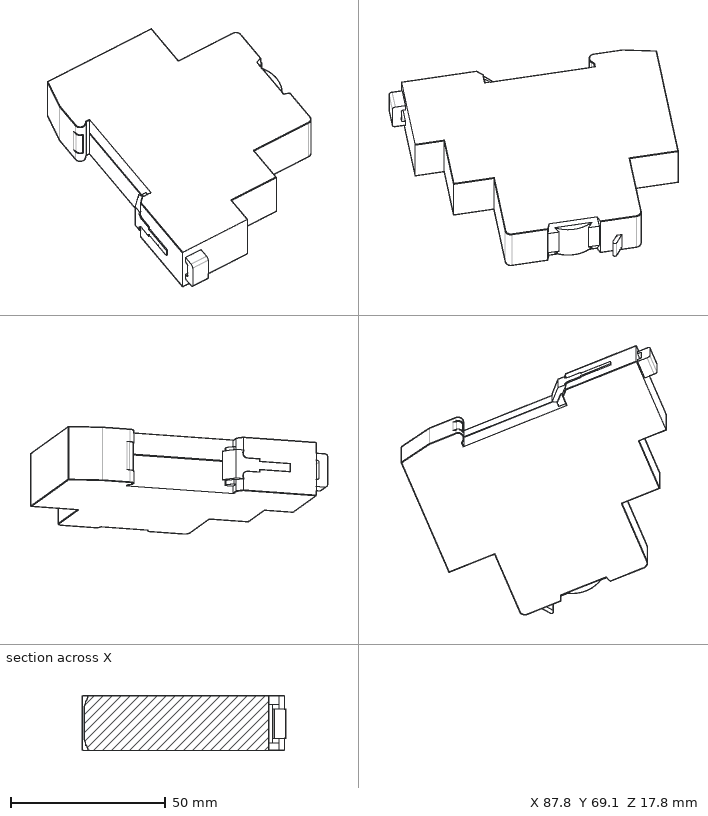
import cadquery as cq
import math

thickness = 17.8
base_length = 83.5
shoulder_x = 74.0
head_left_x = 16.0
head_right_x = 60.75
step_y = 25.3
shoulder_y = 42.7
head_y = 65.6
edge_break = 0.2
corner_radius = 1.85

slope_end_x = 10.9
slope_height = 2.35
channel_left_x = 20.85
channel_right_x = 56.9
channel_y = 5.15
hook_center_x = 20.25
hook_center_y = corner_radius
lead_in = 1.85
seam_z = 10.6
seam_width = 0.3
seam_depth = 0.1

relief_start_x = 19.3
relief_depth = 0.3
relief_bottom_z = 4.2
relief_top_z = 13.6

clip_z = 8.65
clip_drop = 0.4
latch_half_width = 4.75
latch_tip_x = 52.65
latch_tip_y = 3.3
latch_bend_x = 56.2
latch_lip_run = 1.35
latch_lip_rise = 0.65
latch_back_x = 58.4
latch_shoulder_x = 58.9
neck_start_x = 60.2
neck_half_width = 2.2
neck_radius = 1.7
neck_end_x = 64.2
arm_half_width = 1.35
arm_end_x = 74.6
clip_embed = 1.0

stop_half_width = 6.2
stop_left_x = 54.15
stop_slope_top_y = 3.9
stop_bottom_y = 1.9

tab_end_x = 87.8
tab_z = thickness / 2
tab_bottom_y = 1.2
tab_top_y = 7.2
tab_half_width = 5.55
tab_radius = 1.0
window_depth = 1.3
window_half_width = 3.2
window_radius = 0.6

notch_center_x = 38.4
notch_mouth_width = 17.4
notch_bottom_width = 15.8
notch_bottom_y = 63.6
notch_floor_y = 64.95
notch_shoulder_depth = 3.5
dial_chord_width = 14.8
dial_edge_y = 63.3
dial_crest_y = 66.0
dial_half_thickness = 7.2

overall_height = 69.13
lever_radius = 0.65
lever_angle = 52.0
lever_tip_x = 25.4
lever_length = 5.0
lever_bottom_z = 1.45
lever_top_z = 8.65


def extrude_between(outline, bottom_z, top_z):
    """Extrude a closed XY outline from bottom_z to top_z."""
    return outline.extrude(top_z - bottom_z).translate((0, 0, bottom_z))


def box_between(x_range, y_range, z_range):
    """Axis-aligned box given by its limits."""
    sizes = [high - low for low, high in (x_range, y_range, z_range)]
    corner = (x_range[0], y_range[0], z_range[0])
    return cq.Workplane("XY").box(*sizes, centered=False).translate(corner)


def is_broken_rim(edge):
    """True for rim edges that are chamfered: all but the right end and the channel floor."""
    middle = edge.Center()
    on_right_end = abs(middle.x - base_length) < edge_break
    on_channel_floor = abs(middle.y - channel_y) < edge_break
    return not (on_right_end or on_channel_floor)


def make_housing():
    """Stepped housing with the rail channel, hook and lead-in."""
    diagonal = corner_radius * math.sqrt(0.5)
    hook_top = (hook_center_x + diagonal, hook_center_y + diagonal)
    hook_lip_y = hook_top[1] + hook_top[0] - channel_left_x
    outline = (
        cq.Workplane("XY")
        .moveTo(0, slope_height)
        .lineTo(slope_end_x, 0)
        .lineTo(hook_center_x, 0)
        .radiusArc(hook_top, -corner_radius)
        .lineTo(channel_left_x, hook_lip_y)
        .lineTo(channel_left_x, channel_y)
        .lineTo(channel_right_x, channel_y)
        .lineTo(channel_right_x, lead_in)
        .lineTo(channel_right_x + lead_in, 0)
        .lineTo(base_length, 0)
        .lineTo(base_length, step_y)
        .lineTo(shoulder_x, step_y)
        .lineTo(shoulder_x, shoulder_y)
        .lineTo(head_right_x, shoulder_y)
        .lineTo(head_right_x, head_y)
        .lineTo(head_left_x, head_y)
        .lineTo(head_left_x, shoulder_y)
        .lineTo(0, shoulder_y)
        .close()
    )
    blank = outline.extrude(thickness).edges("|Z and >Y").fillet(corner_radius)
    blank = blank.edges("|Z and <X").edges("<Y").chamfer(edge_break)
    rims = blank.faces("<Z or >Z").edges()
    return rims.filter(is_broken_rim).chamfer(edge_break)


def make_seam():
    """Fine groove along the channel floor where the half shells meet."""
    return box_between(
        (channel_left_x, channel_right_x),
        (channel_y - seam_depth, channel_y + seam_depth),
        (seam_z - seam_width / 2, seam_z + seam_width / 2),
    )


def make_hook_relief():
    """Shallow relief that follows the hook rounding over its middle."""
    relief_right_x = hook_center_x + 2 * corner_radius
    block = box_between(
        (relief_start_x, relief_right_x),
        (0, hook_center_y),
        (relief_bottom_z, relief_top_z),
    )
    inner_radius = corner_radius - relief_depth
    core = (
        cq.Workplane("XY")
        .moveTo(relief_start_x, 0)
        .lineTo(hook_center_x, relief_depth)
        .radiusArc((hook_center_x + inner_radius, hook_center_y), -inner_radius)
        .lineTo(relief_start_x, hook_center_y)
        .close()
    )
    return block.cut(core.extrude(thickness))


def make_latch():
    """Angled latch nose with the neck and arm that run under the base."""
    profile = (
        cq.Workplane("XY")
        .moveTo(latch_tip_x, latch_tip_y)
        .lineTo(latch_bend_x, -clip_drop)
        .lineTo(arm_end_x, -clip_drop)
        .lineTo(arm_end_x, clip_embed)
        .lineTo(latch_back_x, clip_embed)
        .lineTo(latch_tip_x + latch_lip_run, latch_tip_y + latch_lip_rise)
        .close()
    )
    plate = extrude_between(profile, clip_z - latch_half_width, clip_z + latch_half_width)

    flare_half_width = neck_half_width + neck_radius
    half_plan = (
        cq.Workplane("XZ")
        .moveTo(latch_tip_x, 0)
        .lineTo(latch_tip_x, latch_half_width)
        .lineTo(latch_shoulder_x, latch_half_width)
        .lineTo(neck_start_x - neck_radius, flare_half_width)
        .radiusArc((neck_start_x, neck_half_width), -neck_radius)
        .lineTo(neck_end_x, neck_half_width)
        .lineTo(neck_end_x, arm_half_width)
        .lineTo(arm_end_x, arm_half_width)
        .lineTo(arm_end_x, 0)
        .close()
        .extrude(channel_y, both=True)
    )
    plan = half_plan.union(half_plan.mirror("XY")).translate((0, 0, clip_z))
    return plate.intersect(plan)


def make_latch_stop():
    """Wider block with a 45 degree face that backs the latch nose."""
    slope_run = stop_slope_top_y - stop_bottom_y
    profile = (
        cq.Workplane("XY")
        .moveTo(stop_left_x, channel_y)
        .lineTo(stop_left_x, stop_slope_top_y)
        .lineTo(stop_left_x + slope_run, stop_bottom_y)
        .lineTo(channel_right_x, stop_bottom_y)
        .lineTo(channel_right_x, channel_y)
        .close()
    )
    return extrude_between(profile, clip_z - stop_half_width, clip_z + stop_half_width)


def make_pull_tab():
    """Loop-shaped pull tab at the right end of the clip."""
    tab = box_between(
        (base_length, tab_end_x),
        (tab_bottom_y, tab_top_y),
        (tab_z - tab_half_width, tab_z + tab_half_width),
    )
    tab = tab.edges("|Y and >X").fillet(tab_radius)
    window = box_between(
        (base_length, base_length + window_depth),
        (tab_bottom_y, tab_top_y),
        (tab_z - window_half_width, tab_z + window_half_width),
    )
    return tab.cut(window.edges("|Y and >X").fillet(window_radius))


def make_notch():
    """Notch across the head: its raised floor falls away in sloped shoulders on both sides."""
    half_mouth = notch_mouth_width / 2
    half_bottom = notch_bottom_width / 2
    flared = (
        cq.Workplane("XY")
        .moveTo(notch_center_x - half_mouth, head_y)
        .lineTo(notch_center_x - half_bottom, notch_bottom_y)
        .lineTo(notch_center_x + half_bottom, notch_bottom_y)
        .lineTo(notch_center_x + half_mouth, head_y)
        .close()
        .extrude(thickness)
    )
    floor_top_z = thickness - notch_shoulder_depth
    floor = (
        cq.Workplane("YZ")
        .moveTo(notch_bottom_y, 0)
        .lineTo(notch_floor_y, notch_shoulder_depth)
        .lineTo(notch_floor_y, floor_top_z)
        .lineTo(notch_bottom_y, thickness)
        .close()
        .extrude(base_length)
    )
    return flared.cut(floor)


def make_dial():
    """Dial rim that bulges out of the notch."""
    half_chord = dial_chord_width / 2
    outline = (
        cq.Workplane("XY")
        .moveTo(notch_center_x - half_chord, dial_edge_y)
        .threePointArc(
            (notch_center_x, dial_crest_y),
            (notch_center_x + half_chord, dial_edge_y),
        )
        .close()
    )
    middle_z = thickness / 2
    return extrude_between(outline, middle_z - dial_half_thickness, middle_z + dial_half_thickness)


def make_lever():
    """Leaning toggle lever with a round tip, rooted in the head."""
    tip_y = overall_height - clip_drop - lever_radius
    lean = math.radians(lever_angle)
    root_x = lever_tip_x - lever_length / 2 * math.cos(lean)
    root_y = tip_y - lever_length / 2 * math.sin(lean)
    outline = (
        cq.Workplane("XY")
        .center(root_x, root_y)
        .slot2D(lever_length + 2 * lever_radius, 2 * lever_radius, lever_angle)
    )
    return extrude_between(outline, lever_bottom_z, lever_top_z)


housing = make_housing().cut(make_seam()).cut(make_hook_relief()).cut(make_notch())

result = (
    housing
    .union(make_latch_stop())
    .union(make_latch())
    .union(make_pull_tab())
    .union(make_dial())
    .union(make_lever())
)